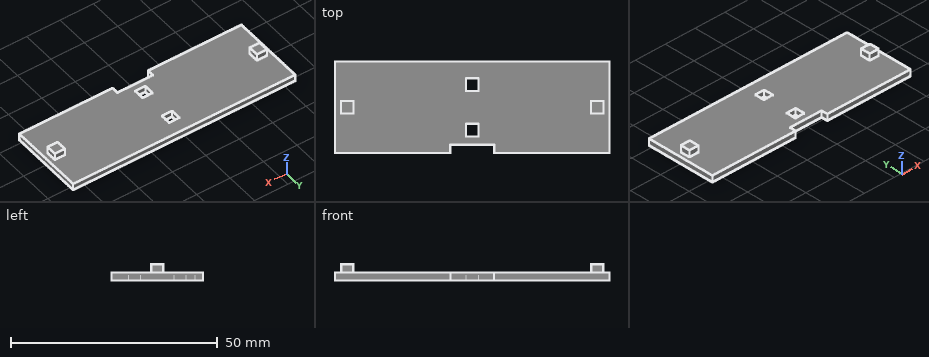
import cadquery as cq

plate_length = 66.5
plate_width = 22.2
plate_thickness = 2.0

peg_size = 3.0
peg_height = 2.0
peg_end_gap = 1.5

window_size = 3.0
window_spacing = 11.0

notch_length = 10.6
notch_depth = 2.0

peg_offset = plate_length / 2 - peg_end_gap - peg_size / 2


def make_plate():
    return cq.Workplane("XY").box(
        plate_length, plate_width, plate_thickness, centered=(True, True, False)
    )


def add_pegs(body):
    return (
        body.faces(">Z")
        .workplane(origin=(0, 0, plate_thickness))
        .pushPoints([(-peg_offset, 0), (peg_offset, 0)])
        .rect(peg_size, peg_size)
        .extrude(peg_height)
    )


def cut_windows(body):
    windows = (
        cq.Workplane("XY")
        .pushPoints([(0, -window_spacing / 2), (0, window_spacing / 2)])
        .rect(window_size, window_size)
        .extrude(plate_thickness)
    )
    return body.cut(windows)


def cut_notch(body):
    notch = (
        cq.Workplane("XY")
        .center(0, -plate_width / 2)
        .rect(notch_length, 2 * notch_depth)
        .extrude(plate_thickness)
    )
    return body.cut(notch)


result = cut_notch(cut_windows(add_pegs(make_plate())))